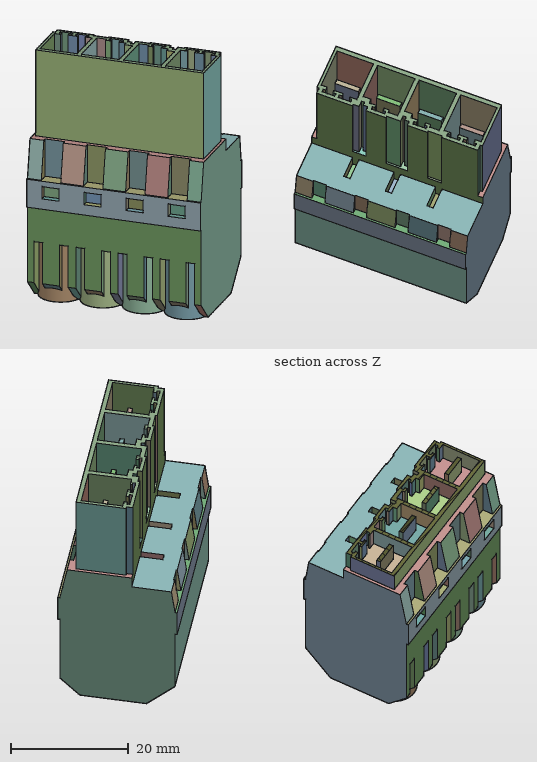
import cadquery as cq


PITCH = 7.6
POLE_COUNT = 4
POLE_X = [(i - (POLE_COUNT - 1) / 2) * PITCH for i in range(POLE_COUNT)]
POLE_BOUNDARY_X = [x + PITCH / 2 for x in POLE_X[:-1]]

TOTAL_HEIGHT = 45.0
BODY_WIDTH = 31.35
BODY_HALF_DEPTH = 9.95
BODY_TOP_Z = 29.25
LEDGE_Z = 27.2
LEDGE_FRONT_Y = 2.48
FRONT_TOP_Y = -8.7
REAR_TOP_Y = 9.3
FRONT_CHAMFER = 3.45
REAR_CHAMFER = 4.95

BAND_HALF_DEPTH = 10.3
BAND_BOTTOM_Z = 17.3
BAND_TOP_Z = 22.4

FRONT_NOTCH_WIDTH = 3.5
FRONT_NOTCH_Y = -8.0
REAR_NOTCH_WIDTH = 2.4
REAR_NOTCH_Y = 9.15

WINDOW_WIDTH = 3.05
WINDOW_BOTTOM_Z = 19.17
WINDOW_TOP_Z = 21.42
WINDOW_DEPTH = 1.13

LEDGE_SLOT_WIDTH = 1.15
LEDGE_SLOT_LENGTH = 3.95
LEDGE_SLOT_DEPTH = 2.25

BOSS_RADIUS = 3.9
BOSS_FRONT_Y = -8.95
BOSS_Y = BOSS_FRONT_Y + BOSS_RADIUS
SLOT_TOP_Z = 11.0
SLOT_INNER_X = 1.55
SLOT_OUTER_X = 3.1

SHROUD_HALF_WIDTH = 15.15
SHROUD_REAR_HALF_WIDTH = 14.75
SHROUD_FRONT_Y = -7.25
SHROUD_STEP_Y = 1.4
SHROUD_REAR_Y = LEDGE_FRONT_Y

GROOVE_LEFT = -0.5
GROOVE_RIGHT = 2.05
LAST_GROOVE_RIGHT = 0.6
GROOVE_Y = 2.15
KEY_LEFT = -1.85
KEY_Y = 1.65
KEY_DEEP_LEFT = -1.05
KEY_DEEP_Y = 1.05

CHAMBER_FLOOR_Z = BODY_TOP_Z
CHAMBER_FRONT_Y = -6.45
CHAMBER_HALF_WIDTH = 3.4
T_HEAD_REAR_Y = 1.85
T_HEAD_FRONT_Y = 1.35
T_NECK_Y = 0.85

END_CHAMBER_OUTER_X = -3.25
END_OUTER_SHOULDER_Y = 0.7
END_INNER_SHOULDER_Y = 1.05
END_HEAD_INNER_X = 0.3
END_HEAD_OUTER_X = 2.6
END_NECK_INNER_X = 0.85
END_NECK_OUTER_X = 2.15

MID_HEAD_X = 1.2
MID_NECK_X = 0.7
MID_LEFT_STEP_X = -1.65
MID_RIGHT_STEP_X = 2.0
MID_RIGHT_STEP_Y = 0.1

BLADE_WIDTH = 4.3
BLADE_THICKNESS = 0.8
BLADE_Y = -3.2
BLADE_TIP_Z = 40.5
BLADE_SEAT_DEPTH = 4.5


def block(x_min, x_max, y_min, y_max, z_min, z_max):
    """Box given by its limits along each axis."""
    size = (x_max - x_min, y_max - y_min, z_max - z_min)
    return cq.Workplane("XY").box(*size, centered=False).translate((x_min, y_min, z_min))


def make_body():
    """Side outline of the housing body, extruded along the row of poles."""
    outline = [
        (-BODY_HALF_DEPTH + FRONT_CHAMFER, 0),
        (BODY_HALF_DEPTH - REAR_CHAMFER, 0),
        (BODY_HALF_DEPTH, REAR_CHAMFER),
        (BODY_HALF_DEPTH, BAND_BOTTOM_Z),
        (BAND_HALF_DEPTH, BAND_BOTTOM_Z),
        (BAND_HALF_DEPTH, BAND_TOP_Z),
        (BODY_HALF_DEPTH, BAND_TOP_Z),
        (REAR_TOP_Y, LEDGE_Z),
        (LEDGE_FRONT_Y, LEDGE_Z),
        (LEDGE_FRONT_Y, BODY_TOP_Z),
        (FRONT_TOP_Y, BODY_TOP_Z),
        (-BODY_HALF_DEPTH, BAND_TOP_Z),
        (-BAND_HALF_DEPTH, BAND_TOP_Z),
        (-BAND_HALF_DEPTH, BAND_BOTTOM_Z),
        (-BODY_HALF_DEPTH, BAND_BOTTOM_Z),
        (-BODY_HALF_DEPTH, FRONT_CHAMFER),
    ]
    return cq.Workplane("YZ").polyline(outline).close().extrude(BODY_WIDTH / 2, both=True)


def make_shroud():
    """Block for the chambers, narrower at the rear, with coding grooves in its rear face."""
    z_range = (BODY_TOP_Z, TOTAL_HEIGHT)
    shroud = block(-SHROUD_HALF_WIDTH, SHROUD_HALF_WIDTH, SHROUD_FRONT_Y, SHROUD_STEP_Y, *z_range)
    rear = block(-SHROUD_REAR_HALF_WIDTH, SHROUD_REAR_HALF_WIDTH, SHROUD_STEP_Y, SHROUD_REAR_Y, *z_range)
    shroud = shroud.union(rear)
    for x in POLE_BOUNDARY_X:
        is_first = x == POLE_BOUNDARY_X[0]
        is_last = x == POLE_BOUNDARY_X[-1]
        right = LAST_GROOVE_RIGHT if is_last else GROOVE_RIGHT
        shroud = shroud.cut(block(x + GROOVE_LEFT, x + right, GROOVE_Y, SHROUD_REAR_Y, *z_range))
        if not is_first:
            key = block(x + KEY_LEFT, x + GROOVE_LEFT, KEY_Y, SHROUD_REAR_Y, *z_range)
            key_deep = block(x + KEY_DEEP_LEFT, x + GROOVE_LEFT, KEY_DEEP_Y, SHROUD_REAR_Y, *z_range)
            shroud = shroud.cut(key).cut(key_deep)
    return shroud


def extrude_chamber(outline):
    """Chamber space from its floor to the mouth of the shroud."""
    floor = cq.Workplane("XY").workplane(offset=CHAMBER_FLOOR_Z)
    return floor.polyline(outline).close().extrude(TOTAL_HEIGHT - CHAMBER_FLOOR_Z)


def make_end_chamber():
    """Chamber of the first pole; the last pole has its mirror image."""
    return extrude_chamber([
        (END_CHAMBER_OUTER_X, CHAMBER_FRONT_Y),
        (END_CHAMBER_OUTER_X, END_OUTER_SHOULDER_Y),
        (-END_NECK_OUTER_X, END_OUTER_SHOULDER_Y),
        (-END_NECK_OUTER_X, T_HEAD_FRONT_Y),
        (-END_HEAD_OUTER_X, T_HEAD_FRONT_Y),
        (-END_HEAD_OUTER_X, T_HEAD_REAR_Y),
        (-END_HEAD_INNER_X, T_HEAD_REAR_Y),
        (-END_HEAD_INNER_X, T_HEAD_FRONT_Y),
        (-END_NECK_INNER_X, T_HEAD_FRONT_Y),
        (-END_NECK_INNER_X, T_NECK_Y),
        (END_NECK_INNER_X, T_NECK_Y),
        (END_NECK_INNER_X, T_HEAD_FRONT_Y),
        (END_HEAD_INNER_X, T_HEAD_FRONT_Y),
        (END_HEAD_INNER_X, T_HEAD_REAR_Y),
        (END_HEAD_OUTER_X, T_HEAD_REAR_Y),
        (END_HEAD_OUTER_X, T_HEAD_FRONT_Y),
        (END_NECK_OUTER_X, T_HEAD_FRONT_Y),
        (END_NECK_OUTER_X, END_INNER_SHOULDER_Y),
        (CHAMBER_HALF_WIDTH, END_INNER_SHOULDER_Y),
        (CHAMBER_HALF_WIDTH, CHAMBER_FRONT_Y),
    ])


def make_middle_chamber():
    """Chamber of the poles between the two ends."""
    return extrude_chamber([
        (-CHAMBER_HALF_WIDTH, CHAMBER_FRONT_Y),
        (-CHAMBER_HALF_WIDTH, T_HEAD_FRONT_Y),
        (MID_LEFT_STEP_X, T_HEAD_FRONT_Y),
        (MID_LEFT_STEP_X, T_NECK_Y),
        (-MID_NECK_X, T_NECK_Y),
        (-MID_NECK_X, T_HEAD_FRONT_Y),
        (-MID_HEAD_X, T_HEAD_FRONT_Y),
        (-MID_HEAD_X, T_HEAD_REAR_Y),
        (MID_HEAD_X, T_HEAD_REAR_Y),
        (MID_HEAD_X, T_HEAD_FRONT_Y),
        (MID_NECK_X, T_HEAD_FRONT_Y),
        (MID_NECK_X, T_NECK_Y),
        (MID_RIGHT_STEP_X, T_NECK_Y),
        (MID_RIGHT_STEP_X, MID_RIGHT_STEP_Y),
        (CHAMBER_HALF_WIDTH, MID_RIGHT_STEP_Y),
        (CHAMBER_HALF_WIDTH, CHAMBER_FRONT_Y),
    ])


def cut_chambers(housing):
    """One chamber per pole."""
    end_chamber = make_end_chamber()
    middle_chamber = make_middle_chamber()
    housing = housing.cut(end_chamber.translate((POLE_X[0], 0, 0)))
    for x in POLE_X[1:-1]:
        housing = housing.cut(middle_chamber.translate((x, 0, 0)))
    return housing.cut(end_chamber.mirror("YZ").translate((POLE_X[-1], 0, 0)))


def cut_notches_and_windows(housing):
    """Notches above the band at front and rear, and windows in the front of the band."""
    front_half = FRONT_NOTCH_WIDTH / 2
    rear_half = REAR_NOTCH_WIDTH / 2
    window_half = WINDOW_WIDTH / 2
    window_back_y = -BAND_HALF_DEPTH + WINDOW_DEPTH
    for x in POLE_X:
        front_notch = block(x - front_half, x + front_half,
                            -BODY_HALF_DEPTH, FRONT_NOTCH_Y, BAND_TOP_Z, BODY_TOP_Z)
        rear_notch = block(x - rear_half, x + rear_half,
                           REAR_NOTCH_Y, BODY_HALF_DEPTH, BAND_TOP_Z, LEDGE_Z)
        window = block(x - window_half, x + window_half,
                       -BAND_HALF_DEPTH, window_back_y, WINDOW_BOTTOM_Z, WINDOW_TOP_Z)
        housing = housing.cut(front_notch).cut(rear_notch).cut(window)
    return housing


def cut_ledge_slots(housing):
    """Slots in the rear ledge, one at each boundary between poles."""
    half = LEDGE_SLOT_WIDTH / 2
    for x in POLE_BOUNDARY_X:
        slot = block(x - half, x + half, LEDGE_FRONT_Y, LEDGE_FRONT_Y + LEDGE_SLOT_LENGTH,
                     LEDGE_Z - LEDGE_SLOT_DEPTH, LEDGE_Z)
        housing = housing.cut(slot)
    return housing


def add_bosses(housing):
    """Bosses that stand out of the front chamfer, with a slot on each side down to the boss surface."""
    slot_limits = (-BODY_HALF_DEPTH, BOSS_Y, 0, SLOT_TOP_Z)
    for x in POLE_X:
        boss = cq.Workplane("XY").center(x, BOSS_Y).circle(BOSS_RADIUS).extrude(SLOT_TOP_Z)
        left_slot = block(x - SLOT_OUTER_X, x - SLOT_INNER_X, *slot_limits)
        right_slot = block(x + SLOT_INNER_X, x + SLOT_OUTER_X, *slot_limits)
        housing = housing.cut(left_slot).cut(right_slot).union(boss)
    return housing


def make_blade(x):
    """Flat contact blade standing in its chamber, its lower end seated in the body."""
    half = BLADE_WIDTH / 2
    half_thickness = BLADE_THICKNESS / 2
    return block(x - half, x + half, BLADE_Y - half_thickness, BLADE_Y + half_thickness,
                 CHAMBER_FLOOR_Z - BLADE_SEAT_DEPTH, BLADE_TIP_Z)


def make_housing(blades):
    """Complete housing with a matching seat for every blade."""
    housing = make_body().union(make_shroud())
    housing = cut_chambers(housing)
    housing = cut_notches_and_windows(housing)
    housing = cut_ledge_slots(housing)
    housing = add_bosses(housing)
    for blade in blades:
        housing = housing.cut(blade)
    return housing


blades = [make_blade(x) for x in POLE_X]
housing = make_housing(blades)

result = cq.Compound.makeCompound([housing.val(), *[blade.val() for blade in blades]])